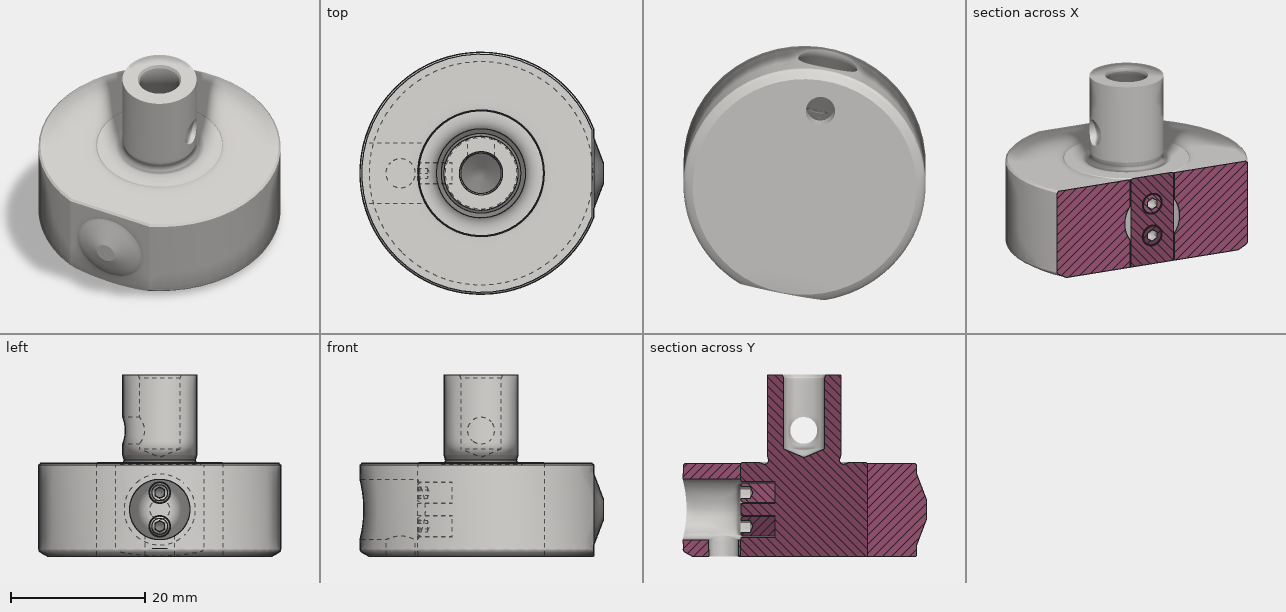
import cadquery as cq
import math

housing_radius = 18.0
housing_height = 13.9
top_chamfer = 0.3
bottom_chamfer_width = 1.38
bottom_chamfer_angle = 30
bottom_round_radius = 0.65
flat_x = 16.8

nose_tip_x = 18.25
nose_base_radius = 5.3
nose_tip_radius = 1.5

cross_axis_z = 7.0
access_hole_radius = 4.5
drain_hole_radius = 2.18
drain_hole_x = -11.95

hub_radius = 9.42
hub_height = 14.0
hub_chamfer = 0.15
stub_radius = 5.5
spindle_height = 27.0

relief_depth_stub = 0.2
relief_depth_hub = 0.25
relief_round = 0.6
relief_taper_stub = 15
relief_taper_hub = 20

bore_radius = 3.0
bore_chamfer_width = 0.2
bore_chamfer_depth = 0.47
bore_depth = 11.0
bore_point_half_angle = 67
radial_hole_z = 18.75
radial_hole_radius = 2.0

screw_radius = 1.505
screw_length = 5.08
screw_hole_clearance = 0.09
screw_spacing = 5.0
screw_chamfer = 0.33
socket_across_flats = 1.5
hexagon_half_angle = 30
socket_depth = 1.45
socket_point_depth = 0.33


def revolve_about_z(profile):
    return profile.close().revolve(360, (0, 0, 0), (0, 1, 0))


def cylinder_along_x(radius, start_x, end_x, z):
    return cq.Workplane("YZ", origin=(start_x, 0, z)).circle(radius).extrude(end_x - start_x)


def make_disc():
    slope = math.radians(bottom_chamfer_angle)
    bottom_radius = housing_radius - bottom_chamfer_width
    corner_z = bottom_chamfer_width * math.tan(slope)
    turn = math.pi / 2 - slope
    tangent = bottom_round_radius * math.tan(turn / 2)
    round_centre = (housing_radius - bottom_round_radius, corner_z + tangent)
    middle = turn / 2
    profile = (
        cq.Workplane("XZ")
        .lineTo(bottom_radius, 0)
        .lineTo(housing_radius - tangent * math.cos(slope), corner_z - tangent * math.sin(slope))
        .threePointArc(
            (
                round_centre[0] + bottom_round_radius * math.cos(middle),
                round_centre[1] - bottom_round_radius * math.sin(middle),
            ),
            (housing_radius, round_centre[1]),
        )
        .lineTo(housing_radius, housing_height)
        .lineTo(0, housing_height)
    )
    disc = revolve_about_z(profile)
    beyond_flat = cq.Workplane("XY").box(
        housing_radius, 2 * housing_radius, housing_height, centered=(False, True, False)
    )
    disc = disc.cut(beyond_flat.translate((flat_x, 0, 0)))
    return disc.faces(">Z").edges().chamfer(top_chamfer)


def make_nose():
    length = nose_tip_x - flat_x
    cone = cq.Solid.makeCone(
        nose_base_radius, nose_tip_radius, length, cq.Vector(flat_x, 0, cross_axis_z), cq.Vector(1, 0, 0)
    )
    return cq.Workplane(cone)


def make_housing():
    hub_bore = cq.Workplane("XY").circle(hub_radius).extrude(housing_height)
    access_hole = cylinder_along_x(access_hole_radius, -housing_radius, 0, cross_axis_z)
    drain_hole = cq.Workplane("XY").center(drain_hole_x, 0).circle(drain_hole_radius).extrude(cross_axis_z)
    return make_disc().union(make_nose()).cut(hub_bore).cut(access_hole).cut(drain_hole)


def make_spindle_blank():
    neck_radius = stub_radius - relief_depth_stub
    groove_z = hub_height - relief_depth_hub
    taper_height = relief_depth_stub / math.tan(math.radians(relief_taper_stub))
    taper_width = relief_depth_hub / math.tan(math.radians(relief_taper_hub))
    round_centre = (neck_radius + relief_round, groove_z + relief_round)
    round_middle = relief_round * math.sqrt(0.5)
    profile = (
        cq.Workplane("XZ")
        .lineTo(hub_radius, 0)
        .lineTo(hub_radius, hub_height - hub_chamfer)
        .lineTo(hub_radius - hub_chamfer, hub_height)
        .lineTo(round_centre[0] + taper_width, hub_height)
        .lineTo(round_centre[0], groove_z)
        .threePointArc(
            (round_centre[0] - round_middle, round_centre[1] - round_middle),
            (neck_radius, round_centre[1]),
        )
        .lineTo(stub_radius, round_centre[1] + taper_height)
        .lineTo(stub_radius, spindle_height)
        .lineTo(0, spindle_height)
    )
    return revolve_about_z(profile)


def make_bore():
    floor_z = spindle_height - bore_depth
    tip_z = floor_z - bore_radius / math.tan(math.radians(bore_point_half_angle))
    profile = (
        cq.Workplane("XZ", origin=(0, 0, tip_z))
        .lineTo(bore_radius, floor_z - tip_z)
        .lineTo(bore_radius, spindle_height - bore_chamfer_depth - tip_z)
        .lineTo(bore_radius + bore_chamfer_width, spindle_height - tip_z)
        .lineTo(0, spindle_height - tip_z)
    )
    return revolve_about_z(profile)


def make_radial_hole():
    return cq.Workplane("XZ").center(0, radial_hole_z).circle(radial_hole_radius).extrude(-stub_radius)


def make_screw_holes(spindle):
    hole_radius = screw_radius + screw_hole_clearance
    for z in screw_heights():
        hole = cylinder_along_x(hole_radius, -hub_radius, screw_length - hub_radius, z)
        spindle = spindle.cut(hole)
    return spindle


def make_spindle():
    spindle = make_spindle_blank().cut(make_bore()).cut(make_radial_hole())
    return make_screw_holes(spindle)


def screw_heights():
    return [cross_axis_z - screw_spacing / 2, cross_axis_z + screw_spacing / 2]


def make_screw(z):
    """A set screw along X with its socket end facing -X."""
    corner_diameter = socket_across_flats / math.cos(math.radians(hexagon_half_angle))
    head_x = -hub_radius
    body = cylinder_along_x(screw_radius, head_x, head_x + screw_length, z)
    body = body.faces("<X").chamfer(screw_chamfer)
    socket = (
        cq.Workplane("YZ", origin=(head_x, 0, z))
        .polygon(6, corner_diameter)
        .extrude(socket_depth)
        .rotate((head_x, 0, z), (head_x + 0.35, 0, z), hexagon_half_angle)
    )
    socket_point = cq.Workplane(
        cq.Solid.makeCone(
            socket_across_flats / 2,
            0,
            socket_point_depth,
            cq.Vector(head_x + socket_depth, 0, z),
            cq.Vector(1, 0, 0),
        )
    )
    return body.cut(socket).cut(socket_point)


housing = make_housing()
spindle = make_spindle()
screws = [make_screw(z) for z in screw_heights()]

result = cq.Compound.makeCompound([housing.val(), spindle.val(), *[screw.val() for screw in screws]])